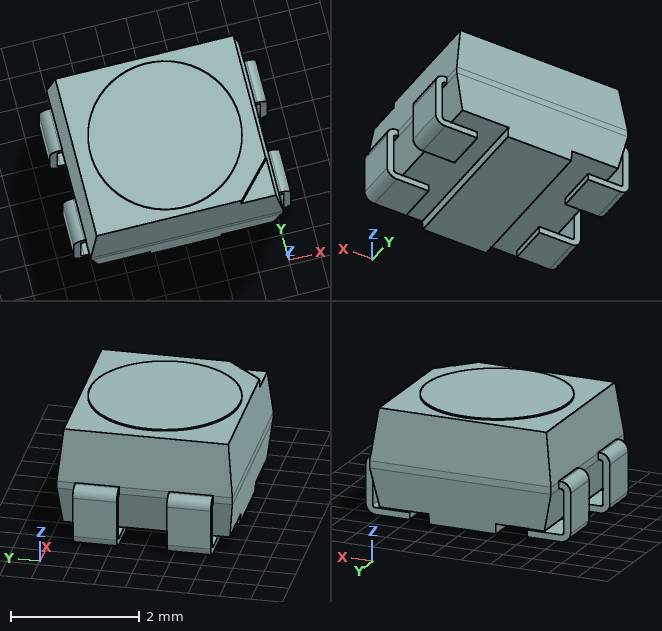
import cadquery as cq
import math


overall_length = 3.5
overall_height = 1.88

lead_thickness = 0.12
lead_width = 0.7
lead_pitch = 1.498
lead_top_z = 0.998
lead_outer_radius = 0.168
lead_inner_radius = lead_outer_radius - lead_thickness
lead_foot_length = 0.75

belt_length = 3.098
belt_width = 2.8
belt_top_z = lead_top_z
belt_bottom_z = belt_top_z - lead_thickness
top_length = 2.863
top_width = 2.625
bottom_length = 2.81
bottom_z = 0.228

foot_length = 1.145
foot_width = 2.625
foot_bottom_z = 0.052

lens_diameter = 2.4
lens_height = 0.025
body_top_z = overall_height - lens_height

notch_setback_x = 0.728
notch_setback_y = 0.795
notch_depth = 0.125


def mirrored_outline(plane, right_half):
    """Closed outline from its right half, listed bottom to top."""
    left_half = [(-u, z) for u, z in reversed(right_half)]
    return cq.Workplane(plane).polyline(right_half + left_half).close()


def make_body():
    """Body and foot: the common part of a lengthwise and a crosswise prism."""
    length_profile = [
        (foot_length / 2, foot_bottom_z),
        (foot_length / 2, bottom_z),
        (bottom_length / 2, bottom_z),
        (belt_length / 2, belt_bottom_z),
        (belt_length / 2, belt_top_z),
        (top_length / 2, body_top_z),
    ]
    width_profile = [
        (foot_width / 2, foot_bottom_z),
        (belt_width / 2, belt_bottom_z),
        (belt_width / 2, belt_top_z),
        (top_width / 2, body_top_z),
    ]
    lengthwise = mirrored_outline("XZ", length_profile).extrude(belt_width / 2, both=True)
    crosswise = mirrored_outline("YZ", width_profile).extrude(belt_length / 2, both=True)
    return lengthwise.intersect(crosswise)


def make_corner_notch():
    """Triangular prism that removes the +X, -Y top corner."""
    corner_x = belt_length / 2
    corner_y = -belt_width / 2
    return (
        cq.Workplane("XY", origin=(0, 0, body_top_z - notch_depth))
        .moveTo(corner_x, corner_y)
        .lineTo(corner_x, corner_y + notch_setback_y)
        .lineTo(corner_x - notch_setback_x, corner_y)
        .close()
        .extrude(notch_depth)
    )


def make_lens():
    """Thin disc standing on the top face."""
    return cq.Workplane("XY", origin=(0, 0, body_top_z)).circle(lens_diameter / 2).extrude(lens_height)


def make_lead(center_y):
    """Bent strip on the +X side: out of the belt, down, and back under the body."""
    root_x = belt_length / 2
    outer_x = overall_length / 2
    inner_x = outer_x - lead_thickness
    tip_x = outer_x - lead_foot_length
    bend_x = outer_x - lead_outer_radius
    upper_bend_z = lead_top_z - lead_outer_radius
    lower_bend_z = lead_outer_radius
    outer_mid = lead_outer_radius * math.sqrt(0.5)
    inner_mid = lead_inner_radius * math.sqrt(0.5)
    return (
        cq.Workplane("XZ", origin=(0, center_y, 0))
        .moveTo(root_x, lead_top_z)
        .lineTo(bend_x, lead_top_z)
        .threePointArc((bend_x + outer_mid, upper_bend_z + outer_mid), (outer_x, upper_bend_z))
        .lineTo(outer_x, lower_bend_z)
        .threePointArc((bend_x + outer_mid, lower_bend_z - outer_mid), (bend_x, 0))
        .lineTo(tip_x, 0)
        .lineTo(tip_x, lead_thickness)
        .lineTo(bend_x, lead_thickness)
        .threePointArc((bend_x + inner_mid, lower_bend_z - inner_mid), (inner_x, lower_bend_z))
        .lineTo(inner_x, upper_bend_z)
        .threePointArc(
            (bend_x + inner_mid, upper_bend_z + inner_mid),
            (bend_x, lead_top_z - lead_thickness),
        )
        .lineTo(root_x, lead_top_z - lead_thickness)
        .close()
        .extrude(lead_width / 2, both=True)
    )


result = make_body().cut(make_corner_notch()).union(make_lens())
for lead_y in (-lead_pitch / 2, lead_pitch / 2):
    lead = make_lead(lead_y)
    result = result.union(lead).union(lead.mirror("YZ"))